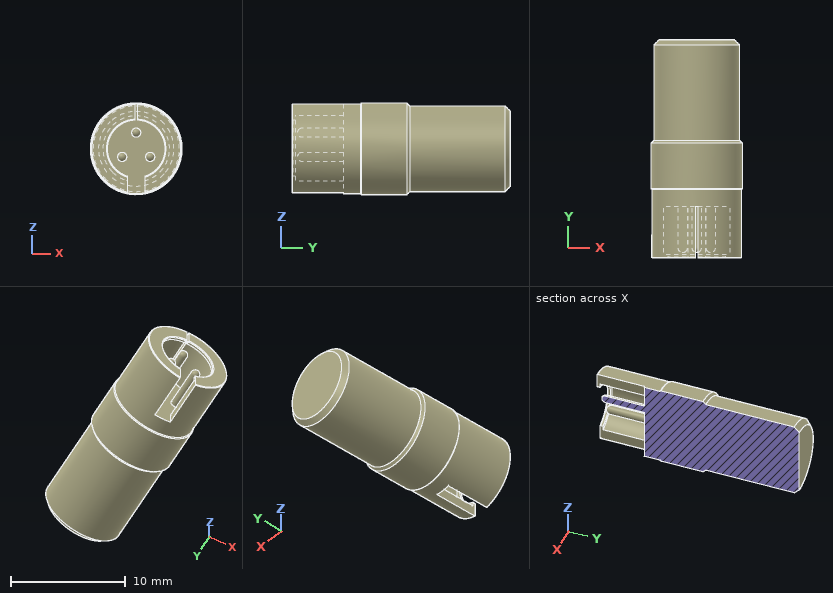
import cadquery as cq
import math

length = 19.0
sleeve_radius = 3.91
sleeve_mouth_chamfer = 0.05
collar_diameter = 8.0
collar_radius = collar_diameter / 2
body_radius = 3.75

collar_front = 6.05
collar_back = 10.25
collar_front_chamfer = collar_radius - sleeve_radius
collar_back_chamfer = collar_radius - body_radius
end_chamfer = 0.48

socket_depth = 4.46
socket_radius = 2.89
socket_mouth_radius = 2.5
socket_mouth_chamfer = 0.08
socket_lip_length = 0.3
keyway_width = 1.54
slit_width = 0.19

pin_radius = 0.4
pin_circle_radius = 1.4
pin_recess = 0.48
pin_count = 3
pin_embed = 0.19


def revolve_profile(points):
    """Revolve (radius, y) points about the Y axis."""
    return cq.Workplane("XY").polyline(points).close().revolve(360, (0, 0), (0, 1))


def make_shell():
    return revolve_profile([
        (0, 0),
        (sleeve_radius - sleeve_mouth_chamfer, 0),
        (sleeve_radius, sleeve_mouth_chamfer),
        (sleeve_radius, collar_front - collar_front_chamfer),
        (collar_radius, collar_front),
        (collar_radius, collar_back - collar_back_chamfer),
        (body_radius, collar_back),
        (body_radius, length - end_chamfer),
        (body_radius - end_chamfer, length),
        (0, length),
    ])


def make_socket():
    return revolve_profile([
        (0, 0),
        (socket_mouth_radius + socket_mouth_chamfer, 0),
        (socket_mouth_radius, socket_mouth_chamfer),
        (socket_mouth_radius, socket_lip_length),
        (socket_radius, socket_lip_length),
        (socket_radius, socket_depth),
        (0, socket_depth),
    ])


def make_wall_cut(width, direction):
    """Slot from the axis through the sleeve wall, towards +Z (1) or -Z (-1)."""
    return (
        cq.Workplane("XY")
        .box(width, socket_depth, collar_radius, centered=(True, False, False))
        .translate((0, 0, min(direction, 0) * collar_radius))
    )


def make_pin(angle):
    """Round-nosed pin standing on the socket floor."""
    nose_center = pin_recess + pin_radius
    nose_mid = pin_radius * math.sqrt(0.5)
    pin = (
        cq.Workplane("XY")
        .moveTo(0, pin_recess)
        .threePointArc((nose_mid, nose_center - nose_mid), (pin_radius, nose_center))
        .lineTo(pin_radius, socket_depth + pin_embed)
        .lineTo(0, socket_depth + pin_embed)
        .close()
        .revolve(360, (0, 0), (0, 1))
    )
    x = pin_circle_radius * math.sin(angle)
    z = pin_circle_radius * math.cos(angle)
    return pin.translate((x, 0, z))


plug = make_shell().cut(make_socket())
plug = plug.cut(make_wall_cut(slit_width, 1))
plug = plug.cut(make_wall_cut(keyway_width, -1))
for index in range(pin_count):
    plug = plug.union(make_pin(2 * math.pi * index / pin_count))

result = plug.translate((0, -length / 2, 0))